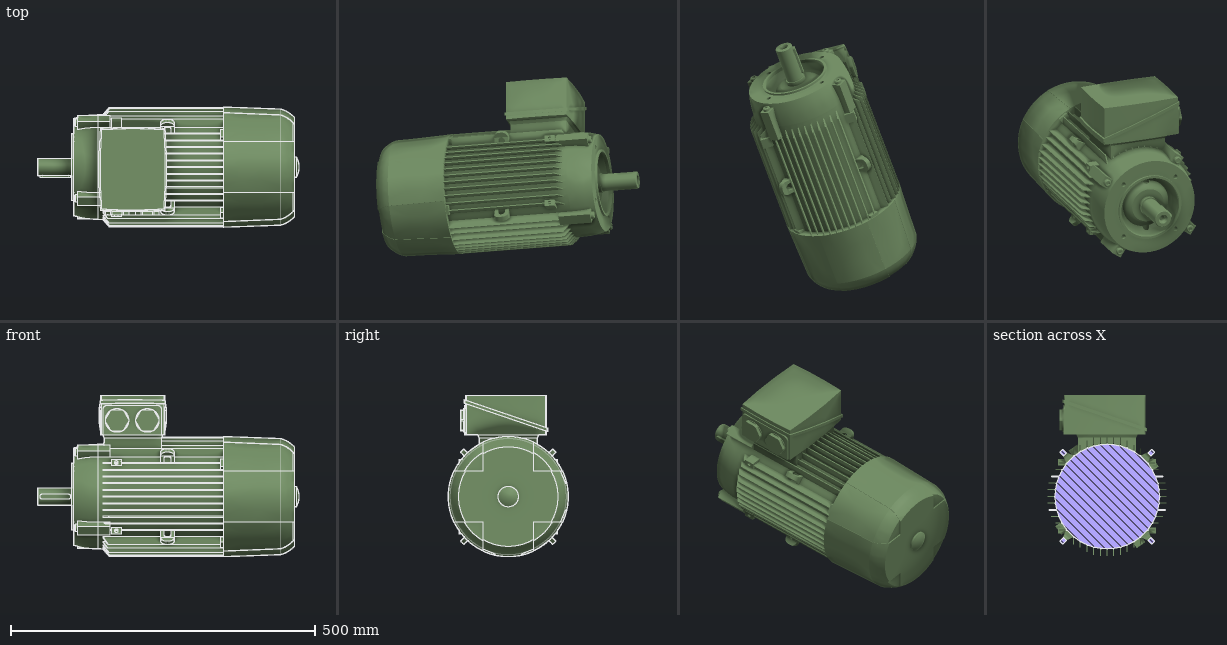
import cadquery as cq
import math


spigot_face = 56.5
flange_face = 60.0
shield_end = 100.0
frame_end = 305.5
cover_end = 422.8
overall_length = 430.5

shaft_radius = 14.0
shoulder_radius = 16.0
shaft_chamfer = 1.0
centre_hole_radius = 4.7
centre_hole_mouth = 7.7
centre_hole_mouth_depth = 4.5
centre_hole_depth = 21.5
key_start = 4.5
key_length = 51.0
key_width = 8.0
key_top = 17.2
key_height = 7.0

spigot_radius = 55.0
flange_radius = 80.0
shield_radius = 86.0
recess_mouth_radius = 51.2
recess_mouth_depth = 5.5
recess_floor_radius = 40.0
recess_floor = 77.5
hub_face = 66.7
hub_radius = 28.0
drain_hole_radius = 5.5
drain_hole_inner_end = 35.5
drain_hole_outer_end = 51.5
shield_bulge = (73.0, 83.5)
hub_bulge = (71.0, 35.5)
recess_bulge = (71.0, 46.5)
flange_hole_radius = 4.0
flange_hole_circle = 65.0
flange_hole_depth = 13.0
flange_hole_angles = [45 + 90 * i for i in range(4)]
drill_tip_angle = 118

lug_circle = 89.0
lug_half_width = 8.5
lug_start = 66.5
lug_end = 119.5
front_lug_angle = 35
front_lug_angles = [front_lug_angle + 90 * i for i in range(4)]
rear_lug_angles = [90 * i - front_lug_angle for i in range(4)]
rear_lug_half_width = 7.7
rear_lug_length = 4.7
screw_head_radius = 6.0
screw_head_height = 5.0
screw_head_chamfer = 1.5
screw_socket_size = 7.0
screw_socket_depth = 3.5

root_radius = 86.0
fin_start = 107.5
fin_bevel = 11.0
fin_thickness = 1.7
fin_tips = [98.0, 97.7, 96.5, 91.5, 84.5, 78.8]
outermost_fin = 55.0
fin_pitch = outermost_fin / (len(fin_tips) - 1)

pad_start = 122.0
pad_length = 16.5
pad_tip = 81.0
pad_depth = 17.2
pad_bottom = 51.0
pad_top = 61.0
pad_hole_radius = 3.0
pad_hole_depth = 4.5
eye_middle = 214.0
eye_width = 23.2
eye_root = 82.0
eye_tip = 107.0
eye_thickness = 7.7
eye_root_thickness = 20.0
eye_flare_top = 98.5
eye_corner = 9.5
eye_slot_width = 12.0
eye_slot_top = 98.0

cover_radius = 99.0
cover_shoulder = 400.0
cover_shoulder_radius = 95.5
cover_bulge_place = 413.0
cover_bulge_radius = 90.0
cover_end_radius = 82.0
panel_half_width = 41.8
corner_step = 0.5
corner_setback = 2.0
button_radius = 17.0
button_rim = 3.0

neck_start = 109.8
neck_end = 204.0
neck_half_width = 48.0
neck_top = 96.5
box_bottom = 101.5
box_top = 166.0
flare_overhang = 2.5
box_start = 106.0
box_end = 208.0
box_front = -69.0
box_back = 61.5
side_bow = 2.5
front_bow = 1.7
lip_overhang = 2.0
lip_height = 5.5
seam_back_height = 108.0
seam_front_height = 152.5
seam_cut_reach = 17.2

entry_plate_start = 107.5
entry_plate_end = 204.5
entry_plate_top = 150.0
entry_plate_face = -72.0
entry_plate_inset = 4.5
entry_plate_corner = 7.5
plug_height = 125.3
plug_pitch = 50.0
plug_collar_radius = 19.5
plug_collar_face = -73.0
plug_across_flats = 35.0
plug_face = -78.5


def cylinder(start, end, radius, y=0.0, z=0.0):
    """Cylinder along X."""
    return cq.Workplane("YZ", origin=(start, y, z)).circle(radius).extrude(end - start)


def box_between(x_range, y_range, z_range):
    """Box given by its (low, high) limits along each axis."""
    size = [high - low for low, high in (x_range, y_range, z_range)]
    corner = (x_range[0], y_range[0], z_range[0])
    return cq.Workplane("XY", origin=corner).box(*size, centered=False)


def turned(profile):
    """Solid of revolution about X from a closed profile of (x, radius)."""
    return profile.close().revolve(360, (0, 0), (1, 0))


def around_axis(shape, angle):
    """The shape turned about the shaft axis, from +Y towards +Z."""
    return shape.rotate((0, 0, 0), (1, 0, 0), angle)


def drilled_hole(start, depth, radius):
    """Drilled hole along X, on the axis, with a conical tip."""
    tip = radius / math.tan(math.radians(drill_tip_angle / 2))
    return turned(
        cq.Workplane("XY")
        .moveTo(start, 0)
        .lineTo(start, radius)
        .lineTo(start + depth, radius)
        .lineTo(start + depth + tip, 0)
    )


def lug(start, end, half_width, angle):
    """Square lug along X at the given angle round the axis."""
    y_range = (lug_circle - half_width, lug_circle + half_width)
    block = box_between((start, end), y_range, (-half_width, half_width))
    return around_axis(block, angle)



def make_key():
    middle = key_start + key_length / 2
    return (
        cq.Workplane("XZ", origin=(middle, -key_top, 0))
        .slot2D(key_length, key_width)
        .extrude(-key_height)
    )


def make_shaft(key):
    shaft = cylinder(0, flange_face, shaft_radius).faces("<X").chamfer(shaft_chamfer)
    shaft = shaft.union(cylinder(flange_face, shield_end, shoulder_radius))
    mouth = turned(
        cq.Workplane("XY")
        .lineTo(0, centre_hole_mouth)
        .lineTo(centre_hole_mouth_depth, centre_hole_radius)
        .lineTo(centre_hole_mouth_depth, 0)
    )
    return shaft.cut(mouth).cut(drilled_hole(0, centre_hole_depth, centre_hole_radius)).cut(key)



def make_screw_head(angle):
    head_face = lug_start - screw_head_height
    head = cylinder(head_face, lug_start, screw_head_radius, y=lug_circle)
    head = head.faces("<X").chamfer(screw_head_chamfer)
    socket = (
        cq.Workplane("YZ", origin=(head_face, lug_circle, 0))
        .polygon(6, screw_socket_size)
        .extrude(screw_socket_depth)
    )
    return around_axis(head.cut(socket), angle)


def make_end_shield():
    mouth_end = spigot_face + recess_mouth_depth
    shield = turned(
        cq.Workplane("XY")
        .moveTo(spigot_face, recess_mouth_radius)
        .lineTo(spigot_face, spigot_radius)
        .lineTo(flange_face, spigot_radius)
        .lineTo(flange_face, flange_radius)
        .threePointArc(shield_bulge, (shield_end, shield_radius))
        .lineTo(shield_end, shoulder_radius)
        .lineTo(hub_face, shoulder_radius)
        .lineTo(hub_face, hub_radius)
        .threePointArc(hub_bulge, (recess_floor, recess_floor_radius))
        .threePointArc(recess_bulge, (mouth_end, recess_mouth_radius))
    )
    for angle in front_lug_angles:
        shield = shield.union(lug(lug_start, shield_end, lug_half_width, angle))
        shield = shield.union(make_screw_head(angle))
    flange_hole = drilled_hole(flange_face, flange_hole_depth, flange_hole_radius)
    flange_hole = flange_hole.translate((0, flange_hole_circle, 0))
    for angle in flange_hole_angles:
        shield = shield.cut(around_axis(flange_hole, angle))
    drain_hole = (
        cq.Workplane("XY", origin=(recess_floor, 0, drain_hole_inner_end))
        .circle(drain_hole_radius)
        .extrude(drain_hole_outer_end - drain_hole_inner_end)
    )
    return shield.cut(drain_hole).cut(drain_hole.mirror("XY"))



def make_fins():
    """Straight fins on all four sides, with a conical bevel across their front ends."""
    fins = cq.Workplane("XY")
    for i, tip in enumerate(fin_tips):
        for place in {i * fin_pitch, -i * fin_pitch}:
            sides = (place - fin_thickness / 2, place + fin_thickness / 2)
            slab = box_between((fin_start, frame_end), (-tip, tip), sides)
            fins = fins.union(slab).union(around_axis(slab, 90))
    bevel_end = fin_start + fin_bevel
    envelope = turned(
        cq.Workplane("XY")
        .moveTo(fin_start, 0)
        .lineTo(fin_start, root_radius)
        .lineTo(bevel_end, cover_radius)
        .lineTo(frame_end, cover_radius)
        .lineTo(frame_end, 0)
    )
    return fins.intersect(envelope)


def make_earthing_pad():
    pad = box_between(
        (pad_start, pad_start + pad_length), (-pad_tip, -pad_tip + pad_depth), (pad_bottom, pad_top)
    )
    hole_middle = (pad_start + pad_length / 2, -pad_tip, (pad_bottom + pad_top) / 2)
    hole = cq.Workplane("XZ", origin=hole_middle).circle(pad_hole_radius).extrude(-pad_hole_depth)
    return pad.cut(hole)


def make_lifting_eye():
    """U-shaped eye standing at 45 degrees in the +Y +Z quadrant, with legs that thicken at the root."""
    half_root = eye_root_thickness / 2
    half_tip = eye_thickness / 2
    half_slot = eye_slot_width / 2
    eye = (
        cq.Workplane("YZ", origin=(eye_middle - eye_width / 2, 0, 0))
        .moveTo(eye_root, -half_root)
        .lineTo(eye_flare_top, -half_tip)
        .lineTo(eye_tip, -half_tip)
        .lineTo(eye_tip, half_tip)
        .lineTo(eye_flare_top, half_tip)
        .lineTo(eye_root, half_root)
        .close()
        .extrude(eye_width)
    )
    eye = eye.edges("|Z and >Y").fillet(eye_corner)
    slot_arc_middle = eye_slot_top - half_slot
    slot_x_range = (eye_middle - half_slot, eye_middle + half_slot)
    slot = box_between(slot_x_range, (eye_root, slot_arc_middle), (-half_root, half_root))
    arc = (
        cq.Workplane("XY", origin=(eye_middle, slot_arc_middle, -half_root))
        .circle(half_slot)
        .extrude(eye_root_thickness)
    )
    return around_axis(eye.cut(slot).cut(arc), 45)


def make_frame():
    frame = cylinder(shield_end, frame_end, root_radius).union(make_fins())
    pad = make_earthing_pad()
    eye = make_lifting_eye()
    for part in (pad, eye):
        lower = part.mirror("XY")
        for copy in (part, lower, part.mirror("XZ"), lower.mirror("XZ")):
            frame = frame.union(copy)
    for angle in front_lug_angles:
        frame = frame.union(lug(shield_end, lug_end, lug_half_width, angle))
    for angle in rear_lug_angles:
        frame = frame.union(lug(frame_end - rear_lug_length, frame_end, rear_lug_half_width, angle))
    neck_width = (-neck_half_width, neck_half_width)
    frame = frame.union(box_between((neck_start, neck_end), neck_width, (0, neck_top)))
    return frame.cut(make_flare())



def cover_body(step, setback):
    """Turned cover, made smaller by a radial step and shorter by a setback at its closed end."""
    return turned(
        cq.Workplane("XY")
        .moveTo(frame_end, 0)
        .lineTo(frame_end, cover_radius - step)
        .lineTo(cover_shoulder, cover_shoulder_radius - step)
        .threePointArc((cover_bulge_place, cover_bulge_radius - step), (cover_end, cover_end_radius - step))
        .lineTo(cover_end, 0)
    ).intersect(cylinder(frame_end, cover_end - setback, cover_radius))


def make_fan_cover():
    wide = (-cover_radius, cover_radius)
    narrow = (-panel_half_width, panel_half_width)
    length = (frame_end, cover_end)
    cross = box_between(length, wide, narrow).union(box_between(length, narrow, wide))
    cover = cover_body(corner_step, corner_setback).union(cover_body(0, 0).intersect(cross))
    rim_end = cover_end + button_rim
    dome_height = overall_length - rim_end
    dome_radius = (button_radius**2 + dome_height**2) / (2 * dome_height)
    button = turned(
        cq.Workplane("XY")
        .moveTo(cover_end, 0)
        .lineTo(cover_end, button_radius)
        .lineTo(rim_end, button_radius)
        .radiusArc((overall_length, 0), dome_radius)
    )
    return cover.union(button)



def make_flare():
    """Tapered foot between the neck and the wider box."""
    middle = ((neck_start + neck_end) / 2, 0, neck_top)
    length = neck_end - neck_start
    width = 2 * neck_half_width
    return (
        cq.Workplane("XY", origin=middle)
        .rect(length, width)
        .workplane(offset=box_bottom - neck_top)
        .rect(length + 2 * flare_overhang, width + 2 * flare_overhang)
        .loft()
    )


def box_column(grow):
    """Full-height box with four bowed sides, grown outwards all round."""
    left = box_start - grow
    right = box_end + grow
    front = box_front - grow
    back = box_back + grow
    middle_x = (left + right) / 2
    middle_y = (front + back) / 2
    return (
        cq.Workplane("XY", origin=(0, 0, box_bottom))
        .moveTo(left, front)
        .threePointArc((middle_x, front - front_bow), (right, front))
        .threePointArc((right + side_bow, middle_y), (right, back))
        .threePointArc((middle_x, back + front_bow), (left, back))
        .threePointArc((left - side_bow, middle_y), (left, front))
        .close()
        .extrude(box_top - box_bottom)
    )


def above_seam(height):
    """Slanted slab of the given upright height, lying on the seam between box and lid."""
    slope = (seam_front_height - seam_back_height) / (box_back - box_front)
    front = box_front - seam_cut_reach
    back = box_back + seam_cut_reach
    front_z = seam_front_height + slope * seam_cut_reach
    back_z = seam_back_height - slope * seam_cut_reach
    return (
        cq.Workplane("YZ")
        .moveTo(front, front_z)
        .lineTo(back, back_z)
        .lineTo(back, back_z + height)
        .lineTo(front, front_z + height)
        .close()
        .extrude(2 * box_end)
    )


def make_plug(x):
    """Round collar with a hexagon head whose corners are rounded off to the collar."""
    seat = cq.Workplane("XZ", origin=(x, entry_plate_face, plug_height))
    collar = seat.circle(plug_collar_radius).extrude(entry_plate_face - plug_collar_face)
    head_height = entry_plate_face - plug_face
    across_corners = plug_across_flats / math.cos(math.pi / 6)
    head = seat.polygon(6, across_corners).extrude(head_height)
    head = head.intersect(seat.circle(plug_collar_radius).extrude(head_height))
    return collar.union(head)


def make_terminal_box():
    box = box_column(0).cut(above_seam(box_top)).union(make_flare())
    plate = box_between(
        (entry_plate_start, entry_plate_end),
        (entry_plate_face, box_front + entry_plate_inset),
        (box_bottom, entry_plate_top),
    )
    plate = plate.edges("|Y and >Z").fillet(entry_plate_corner)
    box = box.union(plate)
    middle = (entry_plate_start + entry_plate_end) / 2
    for x in (middle - plug_pitch / 2, middle + plug_pitch / 2):
        box = box.union(make_plug(x))
    return box


def make_lid():
    lid = box_column(0).intersect(above_seam(box_top))
    lip = box_column(lip_overhang).intersect(above_seam(lip_height))
    return lid.union(lip)


key = make_key()
shaft = make_shaft(key)
end_shield = make_end_shield()
frame = make_frame()
fan_cover = make_fan_cover()
terminal_box = make_terminal_box()
lid = make_lid()

result = cq.Compound.makeCompound(
    [
        shaft.val(),
        key.val(),
        end_shield.val(),
        frame.val(),
        fan_cover.val(),
        terminal_box.val(),
        lid.val(),
    ]
)